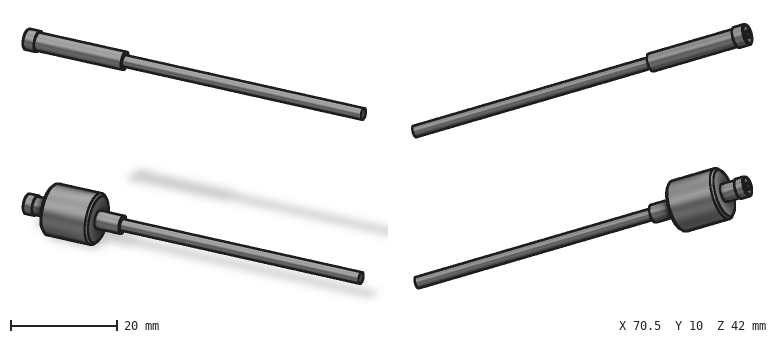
import cadquery as cq

overall_length = 70.5
probe_spacing = 35.0

sleeve_diameter = 3.5
cable_diameter = 2.25
cable_length = 50.0
lens_diameter = 1.5
lens_depth = 1.0
head_chamfer = 0.2

plain_housing_length = overall_length - cable_length
plain_head_diameter = 4.1
plain_head_length = 2.4

collared_housing_length = 20.0
collared_head_diameter = 3.95
collared_head_length = 2.0
collar_diameter = 10.0
collar_length = 10.0
collar_start = 5.0
collar_chamfer = 0.5


def rod(diameter, start, length, axis_z):
    """Cylinder along +X that starts at X = start."""
    plane = cq.Plane(origin=(start, 0, axis_z), xDir=(0, 1, 0), normal=(1, 0, 0))
    return cq.Workplane(plane).circle(diameter / 2).extrude(length)


def make_lens(axis_z):
    """Small disc lying flush in the front face of the housing."""
    return rod(lens_diameter, 0, lens_depth, axis_z)


def make_cable(housing_length, axis_z):
    """Cable that leaves the back face of the housing."""
    return rod(cable_diameter, housing_length, cable_length, axis_z)


def make_housing(head_diameter, head_length, housing_length, axis_z):
    """Sleeve with a chamfered head and a recess for the lens."""
    head = rod(head_diameter, 0, head_length, axis_z).faces("<X").chamfer(head_chamfer)
    sleeve = rod(sleeve_diameter, head_length, housing_length - head_length, axis_z)
    return head.union(sleeve).cut(make_lens(axis_z))


def make_collar(axis_z):
    """Thick collar chamfered at both ends."""
    return rod(collar_diameter, collar_start, collar_length, axis_z).faces("<X or >X").chamfer(collar_chamfer)


plain_housing = make_housing(plain_head_diameter, plain_head_length, plain_housing_length, probe_spacing)

collared_housing = make_housing(
    collared_head_diameter, collared_head_length, collared_housing_length, 0
).union(make_collar(0))

lenses = []
cables = []
for length, height in [(plain_housing_length, probe_spacing), (collared_housing_length, 0)]:
    lenses.append(make_lens(height).val())
    cables.append(make_cable(length, height).val())

result = cq.Compound.makeCompound([plain_housing.val(), collared_housing.val(), *lenses, *cables])